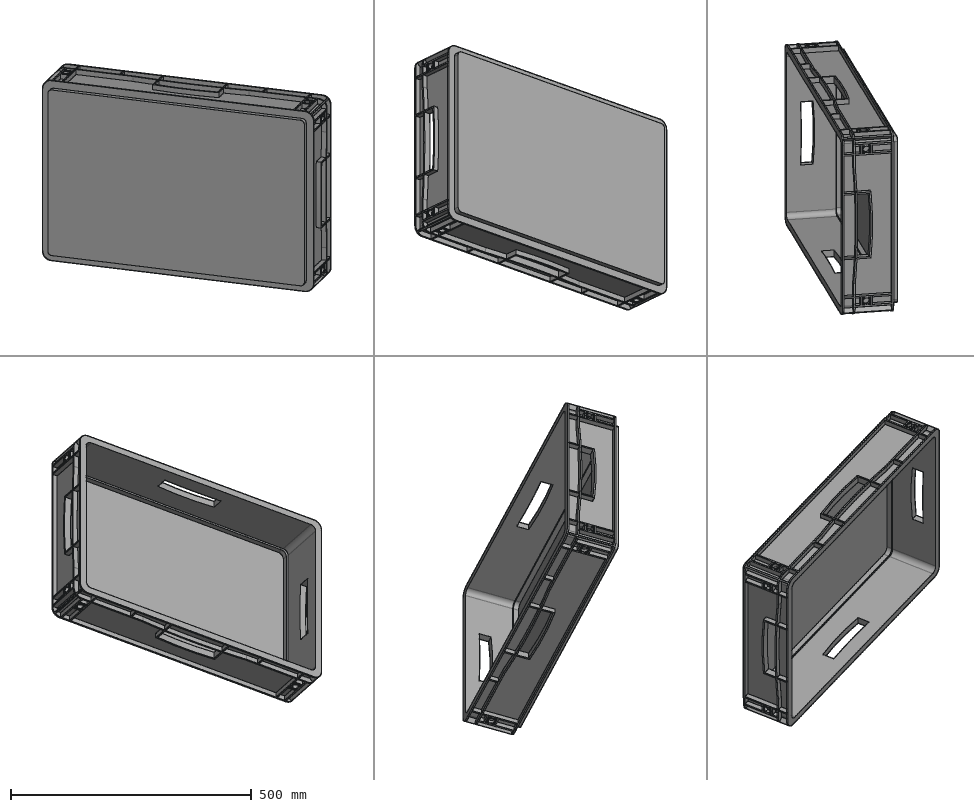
import cadquery as cq
import math

LENGTH = 598.0
WIDTH = 398.0
HEIGHT = 120.0
CORNER_RADIUS = 19.0

WALL_DEPTH = 11.0
WALL_RADIUS = 8.6
INTERIOR_INSET = 15.0
INTERIOR_RADIUS = 12.0
RIB = 3.4

FOOT_HEIGHT = 11.5
FOOT_INSET = 15.9
FOOT_RADIUS = 9.0
FLOOR_THICKNESS = 3.5

OPEN_Y = HEIGHT / 2
BASE_Y = -HEIGHT / 2
FLANGE_Y = BASE_Y + FOOT_HEIGHT
FLANGE_TOP_Y = FLANGE_Y + RIB

LEDGE_TOP_Y = OPEN_Y - 23.5
LEDGE_BOTTOM_Y = LEDGE_TOP_Y - RIB
BOW_HALF_SPAN = 128.0
BOW_SAG = 5.2

WINDOW_HALF_WIDTH = 69.5
WINDOW_BOTTOM_Y = OPEN_Y - 56.9
WINDOW_SAG = 3.4

CORNER_RIB_START = 19.7
POCKET_START = 23.4
LONG_COLUMN_RIB_START = 41.6
SHORT_COLUMN_RIB_START = 40.0
LONG_RIM_RIB_START = 139.9

BOSS_TOP_Y = OPEN_Y - 41.2
BOSS_BOTTOM_Y = OPEN_Y - 60.2
SOCKET_DIAMETER = 14.2
SOCKET_DEPTH = 8.0


def rounded_prism(inset, radius, y_from, y_to):
    """Rounded rectangle inside the outline by inset, spanning y_from to y_to."""
    prism = cq.Workplane("XZ", origin=(0, y_from, 0)).rect(LENGTH - 2 * inset, WIDTH - 2 * inset)
    return prism.extrude(y_from - y_to).edges("|Y").fillet(radius)


def corner_webs():
    """Upright web on the diagonal of each corner."""
    outer = (LENGTH / 2, WIDTH / 2)
    web_end = INTERIOR_INSET * math.sqrt(2)
    web_middle_y = (FLANGE_Y + OPEN_Y) / 2
    web = cq.Workplane("XY").box(2 * web_end, OPEN_Y - FLANGE_Y, RIB)
    webs = cq.Workplane("XY")
    for side_x in (-1, 1):
        for side_z in (-1, 1):
            turned = web.rotate((0, 0, 0), (0, 1, 0), -45 * side_x * side_z)
            webs = webs.add(turned.translate((side_x * outer[0], web_middle_y, side_z * outer[1])))
    return webs.combine()


def bar(u_from, u_to, y_from, y_to):
    """Bar as deep as the whole side, standing on the XY plane, to be moved out to a side."""
    plan = cq.Workplane("XY").center((u_from + u_to) / 2, (y_from + y_to) / 2)
    return plan.rect(abs(u_to - u_from), y_to - y_from).extrude(INTERIOR_INSET)


def bow_drop(u):
    """Drop of the bowed ledge at distance u from the middle of a side."""
    radius = (BOW_HALF_SPAN ** 2 + BOW_SAG ** 2) / (2 * BOW_SAG)
    return math.sqrt(radius ** 2 - u ** 2) - (radius - BOW_SAG)


def ledge(half):
    """Ledge of one side: straight at the ends, bowed down in the middle."""
    return (
        cq.Workplane("XY")
        .moveTo(-half, LEDGE_TOP_Y)
        .lineTo(-BOW_HALF_SPAN, LEDGE_TOP_Y)
        .threePointArc((0, LEDGE_TOP_Y - BOW_SAG), (BOW_HALF_SPAN, LEDGE_TOP_Y))
        .lineTo(half, LEDGE_TOP_Y)
        .lineTo(half, LEDGE_BOTTOM_Y)
        .lineTo(BOW_HALF_SPAN, LEDGE_BOTTOM_Y)
        .threePointArc((0, LEDGE_BOTTOM_Y - BOW_SAG), (-BOW_HALF_SPAN, LEDGE_BOTTOM_Y))
        .lineTo(-half, LEDGE_BOTTOM_Y)
        .close()
        .extrude(INTERIOR_INSET)
    )


def bowed_panel(half_width, top_corner_y, top_middle_y, bottom_y, depth):
    """Panel with a bowed top and bottom edge, standing on the XY plane."""
    return (
        cq.Workplane("XY")
        .moveTo(-half_width, top_corner_y)
        .threePointArc((0, top_middle_y), (half_width, top_corner_y))
        .lineTo(half_width, bottom_y)
        .threePointArc((0, bottom_y - WINDOW_SAG), (-half_width, bottom_y))
        .close()
        .extrude(depth)
    )


def window(depth):
    """Handle opening below the bowed ledge."""
    corner_y = LEDGE_BOTTOM_Y - bow_drop(WINDOW_HALF_WIDTH)
    return bowed_panel(WINDOW_HALF_WIDTH, corner_y, LEDGE_BOTTOM_Y - BOW_SAG, WINDOW_BOTTOM_Y, depth)


def handle_frame():
    """Surround of the handle opening, reaching up to the ledge."""
    half_width = WINDOW_HALF_WIDTH + RIB
    corner_y = LEDGE_TOP_Y - bow_drop(half_width)
    frame_bottom_y = WINDOW_BOTTOM_Y - RIB
    return bowed_panel(half_width, corner_y, LEDGE_TOP_Y - BOW_SAG, frame_bottom_y, INTERIOR_INSET)


def corner_column(half, column_rib_start, hand):
    """Ribs and socket boss near one end of a side; hand is -1 or +1."""
    def from_end(start, end, y_from, y_to):
        return bar(hand * (half - start), hand * (half - end), y_from, y_to)

    rib_end = column_rib_start + RIB
    column = from_end(CORNER_RIB_START, POCKET_START, FLANGE_Y, LEDGE_TOP_Y)
    column = column.union(from_end(column_rib_start, rib_end, FLANGE_Y, OPEN_Y))
    column = column.union(from_end(POCKET_START, rib_end, BOSS_TOP_Y, BOSS_TOP_Y + RIB))
    column = column.union(from_end(POCKET_START, rib_end, BOSS_BOTTOM_Y - RIB, BOSS_BOTTOM_Y))

    middle_u = hand * (half - (POCKET_START + column_rib_start) / 2)
    middle_y = (BOSS_TOP_Y + BOSS_BOTTOM_Y) / 2
    centre = cq.Workplane("XY").center(middle_u, middle_y)
    column = column.union(centre.circle((BOSS_TOP_Y - BOSS_BOTTOM_Y) / 2).extrude(INTERIOR_INSET))
    socket = centre.workplane(offset=INTERIOR_INSET - SOCKET_DEPTH).circle(SOCKET_DIAMETER / 2)
    return column.cut(socket.extrude(SOCKET_DEPTH))


def side_ribs(half, column_rib_start, rim_rib_starts):
    """All ribs of one side of half-length half, standing on the XY plane."""
    ribs = ledge(half).union(handle_frame())
    for hand in (-1, 1):
        ribs = ribs.union(corner_column(half, column_rib_start, hand))
        handle_rib = bar(hand * WINDOW_HALF_WIDTH, hand * (WINDOW_HALF_WIDTH + RIB), LEDGE_BOTTOM_Y, OPEN_Y)
        ribs = ribs.union(handle_rib)
        for start in rim_rib_starts:
            rim_rib = bar(hand * (half - start), hand * (half - start - RIB), LEDGE_BOTTOM_Y, OPEN_Y)
            ribs = ribs.union(rim_rib)
    return ribs


def on_side(feature, angle, half_distance):
    """Move a feature from the XY plane out to a side and turn it round the Y axis."""
    moved = feature.translate((0, 0, half_distance - INTERIOR_INSET))
    return moved.rotate((0, 0, 0), (0, 1, 0), angle)


def tray():
    """Ribbed tray with a hollow foot and a handle opening in each side."""
    long_ribs = side_ribs(LENGTH / 2, LONG_COLUMN_RIB_START, [LONG_RIM_RIB_START])
    short_ribs = side_ribs(WIDTH / 2, SHORT_COLUMN_RIB_START, [])
    sides = [
        (long_ribs, 0, WIDTH / 2),
        (short_ribs, 90, LENGTH / 2),
        (long_ribs, 180, WIDTH / 2),
        (short_ribs, 270, LENGTH / 2),
    ]
    envelope = rounded_prism(0, CORNER_RADIUS, FLANGE_Y, OPEN_Y)

    body = rounded_prism(WALL_DEPTH, WALL_RADIUS, FLANGE_Y, OPEN_Y)
    body = body.union(corner_webs().intersect(envelope))
    for ribs, angle, half_distance in sides:
        body = body.union(on_side(ribs, angle, half_distance).intersect(envelope))
    body = body.union(rounded_prism(0, CORNER_RADIUS, FLANGE_Y, FLANGE_TOP_Y))
    body = body.union(rounded_prism(0, CORNER_RADIUS, OPEN_Y - RIB, OPEN_Y))
    body = body.union(rounded_prism(FOOT_INSET, FOOT_RADIUS, BASE_Y, FLANGE_TOP_Y))

    body = body.cut(rounded_prism(INTERIOR_INSET, INTERIOR_RADIUS, FLANGE_TOP_Y, OPEN_Y))
    foot_wall = FOOT_INSET + FLOOR_THICKNESS
    body = body.cut(rounded_prism(foot_wall, INTERIOR_RADIUS, BASE_Y + FLOOR_THICKNESS, OPEN_Y))

    for _, angle, half_distance in sides:
        body = body.cut(on_side(window(INTERIOR_INSET), angle, half_distance))
    return body


result = tray()